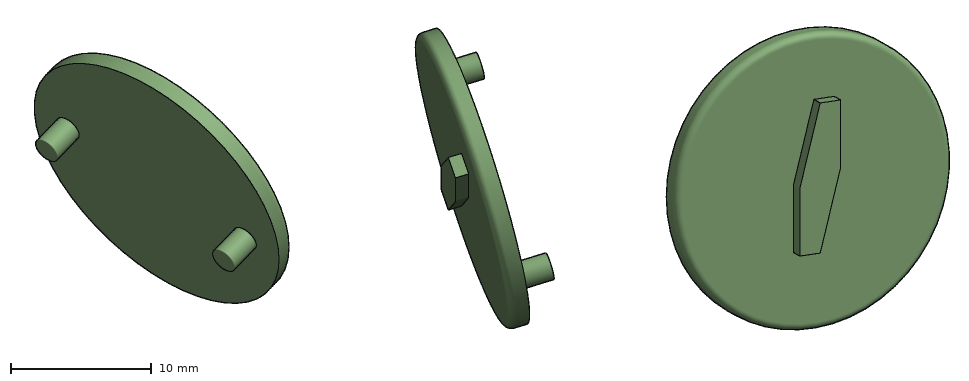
import cadquery as cq

disc_diameter = 22
disc_thickness = 1.5
rim_radius = 0.5

pin_diameter = 2.0
pin_length = 2.5
pin_spacing = 15.9
pin_tip_radius = 0.05

pad_height = 1.0
pad_width = 3.25
pad_top = 6.12
pad_bottom = -5.02
pad_side_length = 5.0


def make_disc():
    """Disc with a rounded rim on its back face."""
    disc = cq.Workplane("XZ").circle(disc_diameter / 2).extrude(-disc_thickness)
    return disc.faces(">Y").edges().fillet(rim_radius)


def make_pins():
    """Two round pins pointing toward -Y, with slightly rounded tips."""
    centers = [(-pin_spacing / 2, 0), (pin_spacing / 2, 0)]
    pins = cq.Workplane("XZ").pushPoints(centers).circle(pin_diameter / 2).extrude(pin_length)
    return pins.faces("<Y").edges().fillet(pin_tip_radius)


def make_pad():
    """Six-sided pad: upright sides and level ends joined by two parallel slants."""
    half_width = pad_width / 2
    outline = [
        (-half_width, pad_top),
        (0, pad_top),
        (half_width, pad_bottom + pad_side_length),
        (half_width, pad_bottom),
        (0, pad_bottom),
        (-half_width, pad_top - pad_side_length),
    ]
    back_face = cq.Workplane("XZ", origin=(0, disc_thickness, 0))
    return back_face.polyline(outline).close().extrude(-pad_height)


result = make_disc().union(make_pins()).union(make_pad())